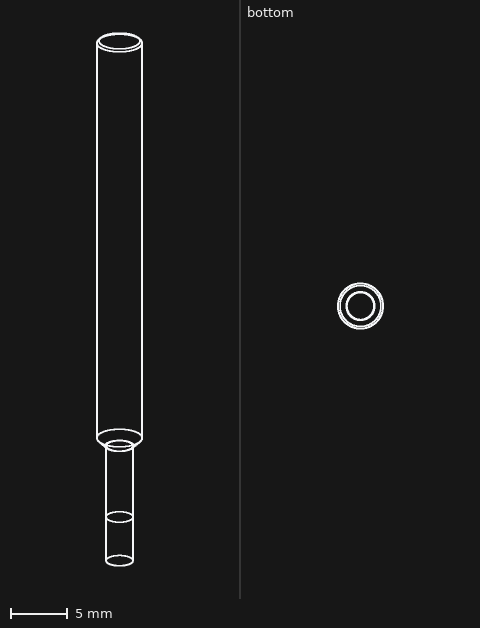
import cadquery as cq
import math

overall_length = 50.0
shank_radius = 4.0 / 2
neck_radius = 2.38 / 2
shoulder_end_radius = 2.5 / 2

top_chamfer = 0.2
shoulder_slope = 45.0
point_angle = 140.0

neck_top_z = 11.38
tip_top_z = 4.6

shoulder_height = (shank_radius - shoulder_end_radius) / math.tan(math.radians(shoulder_slope))
point_height = neck_radius / math.tan(math.radians(point_angle / 2))


def revolve_about_z(profile):
    """Turn a closed half profile in the XZ plane into a round solid about Z."""
    return profile.revolve(360, (0, 0, 0), (0, 1, 0))


def make_shank():
    """Cylinder with a chamfered top and a conical shoulder at its lower end."""
    profile = (
        cq.Workplane("XZ")
        .moveTo(0, neck_top_z)
        .lineTo(shoulder_end_radius, neck_top_z)
        .lineTo(shank_radius, neck_top_z + shoulder_height)
        .lineTo(shank_radius, overall_length - top_chamfer)
        .lineTo(shank_radius - top_chamfer, overall_length)
        .lineTo(0, overall_length)
        .close()
    )
    return revolve_about_z(profile)


def make_neck():
    """Plain cylinder between the shank and the tip."""
    neck_length = neck_top_z - tip_top_z
    return cq.Workplane("XY").workplane(offset=tip_top_z).circle(neck_radius).extrude(neck_length)


def make_tip():
    """Cylinder of the neck's diameter that ends in a shallow conical point."""
    profile = (
        cq.Workplane("XZ")
        .lineTo(neck_radius, point_height)
        .lineTo(neck_radius, tip_top_z)
        .lineTo(0, tip_top_z)
        .close()
    )
    return revolve_about_z(profile)


shank = make_shank()
neck = make_neck()
tip = make_tip()

result = cq.Compound.makeCompound([shank.val(), neck.val(), tip.val()])